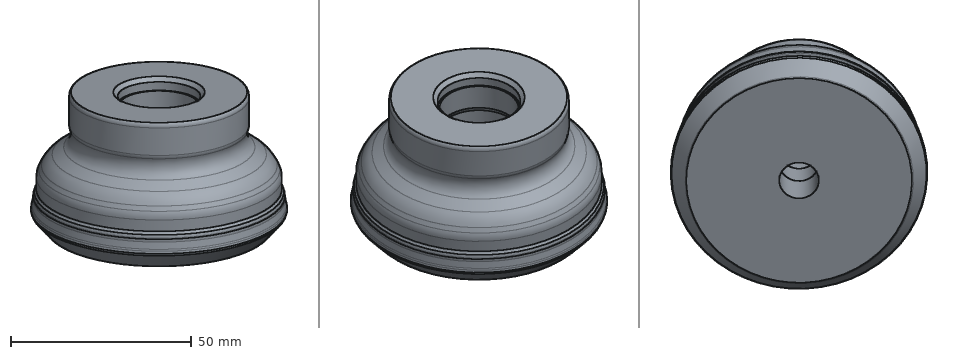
import cadquery as cq
import math


total_height = 40.0
split_height = 11.4

collar_radius = 25.0
top_round_radius = 1.7
top_round_drop = 1.3
collar_bottom = 30.6
lip_radius = 2.85
neck_radius = 4.7
shoulder_radius = 9.8
skirt_round_radius = 4.7
undercut_angle = math.radians(-22)
flare_angle = math.radians(56)
shoulder_angle = math.radians(30)
flare_length = 3.85
shoulder_length = 1.5

bore_radius = 11.0
relief_radius = 11.5
floor_edge_radius = 10.7
mouth_chamfer = 1.2
entry_depth = 3.7
pilot_depth = 10.85
relief_start_depth = 12.05
bore_depth = 19.95

screw_hole_radius = 5.5
screw_hole_chamfer = 0.5

top_land_start = (34.65, 10.55)
top_land_end = (34.85, 9.8)
step_break = (34.9, 9.6)
step_top = (35.0, 9.4)
step_bottom = (35.0, 8.6)
flank_end = (35.35, 6.6)
rim_start = (35.5, 6.1)
rim = (35.65, 5.35)
cone_start = (35.35, 4.6)
cone_end = (31.65, 0.35)
base_edge = (31.3, 0.0)
edge_round_sagitta = 0.1
rim_round_sagitta = 0.1


class TangentPath:
    """Collects a profile of tangent arcs and lines running downward.

    The heading is the angle from straight down, positive when turning outward.
    """

    def __init__(self, wire, radius, height):
        self.wire = wire
        self.radius = radius
        self.height = height
        self.heading = 0.0

    def arc_point(self, arc_radius, heading):
        turn_radius = math.copysign(arc_radius, heading - self.heading)
        radius = self.radius + turn_radius * (math.cos(self.heading) - math.cos(heading))
        height = self.height - turn_radius * (math.sin(heading) - math.sin(self.heading))
        return radius, height

    def arc(self, arc_radius, heading):
        middle = self.arc_point(arc_radius, (self.heading + heading) / 2)
        end = self.arc_point(arc_radius, heading)
        self.wire = self.wire.threePointArc(middle, end)
        self.radius, self.height = end
        self.heading = heading

    def line(self, length):
        self.radius += length * math.sin(self.heading)
        self.height -= length * math.cos(self.heading)
        self.wire = self.wire.lineTo(self.radius, self.height)


def revolve_profile(wire):
    return wire.close().revolve(360, (0, 0, 0), (0, 1, 0))


def hub_blank():
    """Solid outside shape of the hub; also returns the skirt radius."""
    round_start = total_height - top_round_drop
    round_angle = math.asin(top_round_drop / top_round_radius)
    round_center = collar_radius - top_round_radius
    round_middle = (
        round_center + top_round_radius * math.cos(round_angle / 2),
        round_start + top_round_radius * math.sin(round_angle / 2),
    )
    top_radius = round_center + top_round_radius * math.cos(round_angle)
    wire = (
        cq.Workplane("XZ")
        .moveTo(0, split_height)
        .lineTo(0, total_height)
        .lineTo(top_radius, total_height)
        .threePointArc(round_middle, (collar_radius, round_start))
        .lineTo(collar_radius, collar_bottom)
    )
    flare = TangentPath(wire, collar_radius, collar_bottom)
    flare.arc(lip_radius, undercut_angle)
    flare.arc(neck_radius, flare_angle)
    flare.line(flare_length)
    flare.arc(shoulder_radius, shoulder_angle)
    flare.line(shoulder_length)
    flare.arc(skirt_round_radius, 0.0)
    blank = revolve_profile(flare.wire.lineTo(flare.radius, split_height))
    return blank, flare.radius


def bore_cutter():
    """Stepped bore with a chamfered mouth, a lower relief and the screw hole."""
    floor = total_height - bore_depth
    wire = cq.Workplane("XZ").polyline([
        (0, total_height),
        (relief_radius + mouth_chamfer, total_height),
        (relief_radius, total_height - mouth_chamfer),
        (relief_radius, total_height - entry_depth),
        (bore_radius, total_height - entry_depth),
        (bore_radius, total_height - pilot_depth),
        (relief_radius, total_height - relief_start_depth),
        (relief_radius, floor + relief_radius - floor_edge_radius),
        (floor_edge_radius, floor),
        (screw_hole_radius + screw_hole_chamfer, floor),
        (screw_hole_radius, floor - screw_hole_chamfer),
        (screw_hole_radius, split_height),
        (0, split_height),
    ])
    return revolve_profile(wire)


def cutting_ring(skirt_radius):
    """Conical ring below the hub, with the screw hole running through it."""
    wire = (
        cq.Workplane("XZ")
        .moveTo(screw_hole_radius, 0)
        .lineTo(screw_hole_radius, split_height)
        .lineTo(skirt_radius, split_height)
        .sagittaArc(top_land_start, -edge_round_sagitta)
        .lineTo(*top_land_end)
        .lineTo(*step_break)
        .lineTo(*step_top)
        .lineTo(*step_bottom)
        .lineTo(*flank_end)
        .lineTo(*rim_start)
        .lineTo(*rim)
        .sagittaArc(cone_start, -rim_round_sagitta)
        .lineTo(*cone_end)
        .lineTo(*base_edge)
    )
    return revolve_profile(wire)


blank, skirt_radius = hub_blank()
hub = blank.cut(bore_cutter())
ring = cutting_ring(skirt_radius)

result = cq.Compound.makeCompound([hub.val(), ring.val()])